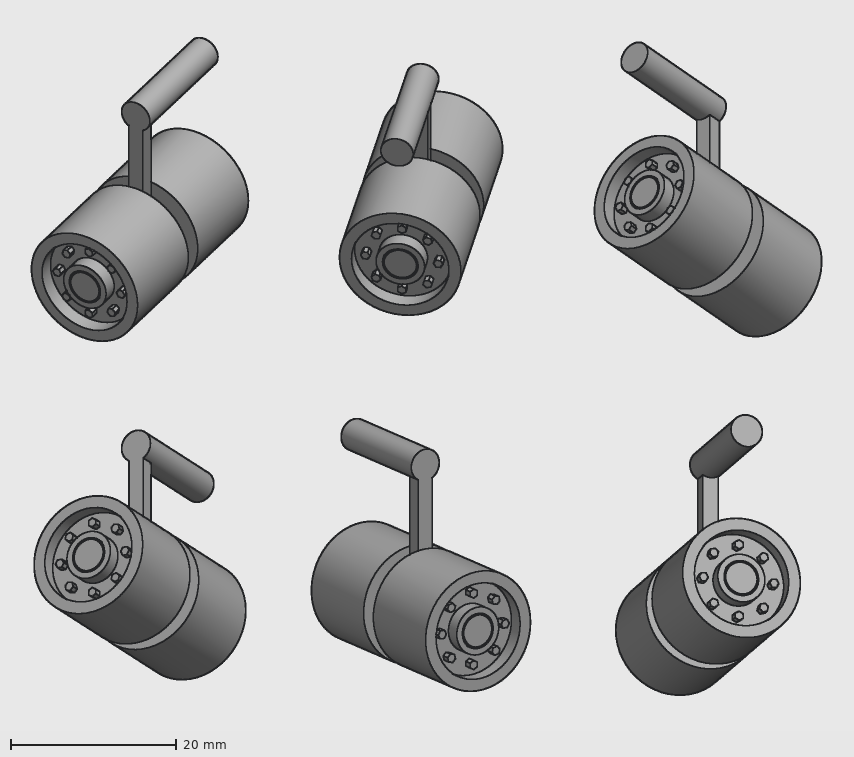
import cadquery as cq
import math

WHEEL_DIAMETER = 15.0
WHEEL_WIDTH = 11.9
RECESS_DIAMETER = 12.0
RECESS_DEPTH = 2.0
HUB_DIAMETER = 6.0
HUB_HEIGHT = 1.9
BORE_DIAMETER = 4.4

STUD_COUNT = 8
STUD_SIDES = 6
STUD_WIDTH = 1.0
STUD_CIRCLE_DIAMETER = 9.0
STUD_HEIGHT = 1.0

DISC_DIAMETER = 10.0
DISC_WIDTH = 2.0
AXLE_DIAMETER = 4.0
STEM_WIDTH = 2.0
GRIP_DIAMETER = 4.0
GRIP_LENGTH = 16.0
GRIP_CENTRE_HEIGHT = 18.0
SIDE_GAP = 0.1

WHEEL_INNER_Y = DISC_WIDTH / 2 + SIDE_GAP
HUB_FACE_Y = WHEEL_INNER_Y + WHEEL_WIDTH - RECESS_DEPTH + HUB_HEIGHT


def cylinder(diameter, start_y, end_y, z=0):
    """Cylinder parallel to Y between two Y positions, centred at X = 0."""
    return cq.Workplane("XZ", origin=(0, start_y, z)).circle(diameter / 2).extrude(start_y - end_y)


def make_studs(floor_y):
    """Ring of hexagonal studs rising from the recess floor towards +Y."""
    corner_diameter = STUD_WIDTH / math.cos(math.pi / STUD_SIDES)
    first_stud = (
        cq.Workplane("XZ", origin=(STUD_CIRCLE_DIAMETER / 2, floor_y, 0))
        .polygon(STUD_SIDES, corner_diameter)
        .extrude(-STUD_HEIGHT)
    )
    turn = 360 / STUD_COUNT
    return [first_stud.rotate((0, 0, 0), (0, 1, 0), index * turn) for index in range(STUD_COUNT)]


def make_wheel():
    """Wheel on the +Y side, with its recess open towards +Y."""
    outer_y = WHEEL_INNER_Y + WHEEL_WIDTH
    floor_y = outer_y - RECESS_DEPTH
    wheel = cylinder(WHEEL_DIAMETER, WHEEL_INNER_Y, outer_y)
    wheel = wheel.cut(cylinder(RECESS_DIAMETER, floor_y, outer_y))
    wheel = wheel.union(cylinder(HUB_DIAMETER, WHEEL_INNER_Y, HUB_FACE_Y))
    for stud in make_studs(floor_y):
        wheel = wheel.union(stud)
    return wheel.cut(cylinder(BORE_DIAMETER, WHEEL_INNER_Y, outer_y))


def make_lever():
    """Disc and axle between the wheels, with a stem up to the grip."""
    front_y = -DISC_WIDTH / 2
    disc = cylinder(DISC_DIAMETER, front_y, -front_y)
    axle = cylinder(AXLE_DIAMETER, -HUB_FACE_Y, HUB_FACE_Y)
    stem = cq.Workplane().box(STEM_WIDTH, DISC_WIDTH, GRIP_CENTRE_HEIGHT, centered=(True, True, False))
    grip = cylinder(GRIP_DIAMETER, front_y, front_y + GRIP_LENGTH, z=GRIP_CENTRE_HEIGHT)
    return disc.union(axle).union(stem).union(grip)


lever = make_lever()
rear_wheel = make_wheel()
front_wheel = rear_wheel.mirror("XZ")
result = cq.Compound.makeCompound([lever.val(), rear_wheel.val(), front_wheel.val()])